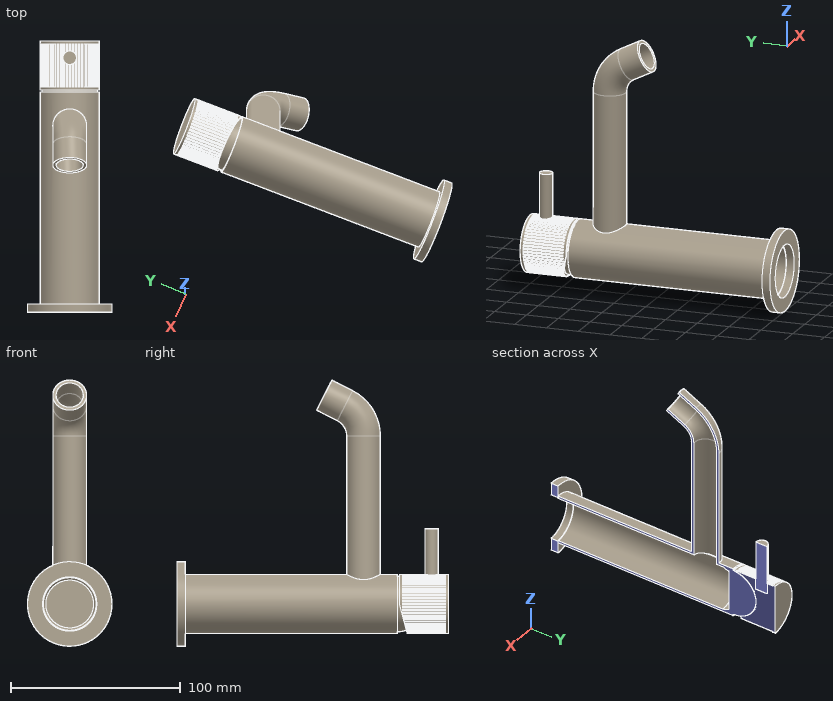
import cadquery as cq
import math

total_length = 160.0

flange_diameter = 50.0
flange_thickness = 5.0
flange_bore_diameter = 32.0

body_diameter = 35.0
body_end_y = 130.0
bore_diameter = 31.0
bore_end_wall = 3.2
bore_floor_diameter = 28.2
bore_taper_length = 4.0
dome_diameter = 33.0

spout_y = 110.0
spout_diameter = 20.0
spout_bore_diameter = 16.0
spout_bend_start_z = 99.0
spout_bend_radius = 20.0
spout_bend_angle = 63.0
spout_tip_length = 13.8

knob_diameter = body_diameter
knob_length = 29.0
knob_rim = 2.0
knob_relief_angle = 15.0
groove_count = 60
groove_width = 1.0
groove_depth = 0.5

pin_diameter = 8.0
pin_inset = 10.0
pin_top_z = 44.5
pin_bottom_z = 9.6

knob_start_y = total_length - knob_length
pin_y = total_length - pin_inset


def cylinder_y(diameter, start_y, end_y):
    """Cylinder on the body axis between two Y stations."""
    start_plane = cq.Plane(origin=(0, start_y, 0), xDir=(1, 0, 0), normal=(0, 1, 0))
    return cq.Workplane(start_plane).circle(diameter / 2).extrude(end_y - start_y)


def make_dome():
    """Ball centred on the body's end face, on which the knob sits."""
    return cq.Workplane("XY").sphere(dome_diameter / 2).translate((0, body_end_y, 0))


def make_spout_rod(diameter):
    """Round rod along the spout path: up from the body axis, round the bend, then along the tip."""
    angle = math.radians(spout_bend_angle)

    def bend_point(turned):
        return (
            spout_y - spout_bend_radius * (1 - math.cos(turned)),
            spout_bend_start_z + spout_bend_radius * math.sin(turned),
        )

    bend_end = bend_point(angle)
    tip = (
        bend_end[0] - spout_tip_length * math.sin(angle),
        bend_end[1] + spout_tip_length * math.cos(angle),
    )
    path = (
        cq.Workplane("YZ")
        .moveTo(spout_y, 0)
        .lineTo(spout_y, spout_bend_start_z)
        .threePointArc(bend_point(angle / 2), bend_end)
        .lineTo(*tip)
    )
    return cq.Workplane("XY", origin=(0, spout_y, 0)).circle(diameter / 2).sweep(path)


def make_flange():
    flange = cylinder_y(flange_diameter, 0, flange_thickness)
    return flange.cut(cylinder_y(flange_bore_diameter, 0, flange_thickness))


def make_body():
    """Tube with its spout and end dome; the bore is blind and tapers in at its floor."""
    taper_inset = (bore_diameter - bore_floor_diameter) / 2
    bore = cylinder_y(bore_diameter, flange_thickness, body_end_y - bore_end_wall)
    bore = bore.faces(">Y").chamfer(bore_taper_length, taper_inset)
    tube = cylinder_y(body_diameter, flange_thickness, body_end_y)
    body = tube.union(make_dome()).union(make_spout_rod(spout_diameter))
    return body.cut(bore).cut(make_spout_rod(spout_bore_diameter))


def make_pin():
    pin_base = cq.Workplane("XY", origin=(0, pin_y, pin_bottom_z))
    return pin_base.circle(pin_diameter / 2).extrude(pin_top_z - pin_bottom_z)


def cut_grooves(knob):
    """V-grooves along the knob, evenly spaced round it, stopping short of both rims."""
    knob_radius = knob_diameter / 2
    start_plane = cq.Plane(origin=(0, knob_start_y + knob_rim, 0), xDir=(1, 0, 0), normal=(0, 1, 0))
    groove_length = knob_length - 2 * knob_rim
    profile = [
        (-groove_width, knob_radius + groove_depth),
        (groove_width, knob_radius + groove_depth),
        (0, knob_radius - groove_depth),
    ]
    groove = cq.Workplane(start_plane).polyline(profile).close().extrude(groove_length)
    grooves = []
    for index in range(groove_count):
        turned = groove.rotate((0, 0, 0), (0, 1, 0), index * 360 / groove_count)
        grooves.append(turned.val())
    return cq.Workplane("XY").newObject([knob.val().cut(*grooves)])


def cut_relief(knob):
    """Slope the lower half of the inner face away from the body so that the knob can tilt."""
    drop = knob_diameter
    setback = drop * math.tan(math.radians(knob_relief_angle))
    wedge = (
        cq.Workplane("YZ")
        .polyline([(knob_start_y, 0), (knob_start_y + setback, -drop), (knob_start_y, -drop)])
        .close()
        .extrude(knob_diameter, both=True)
    )
    return knob.cut(wedge)


def make_knob(pin):
    knob = cylinder_y(knob_diameter, knob_start_y, total_length)
    knob = cut_relief(cut_grooves(knob))
    return knob.cut(make_dome()).cut(pin)


flange = make_flange()
body = make_body()
pin = make_pin()
knob = make_knob(pin)

result = cq.Compound.makeCompound([flange.val(), body.val(), knob.val(), pin.val()])